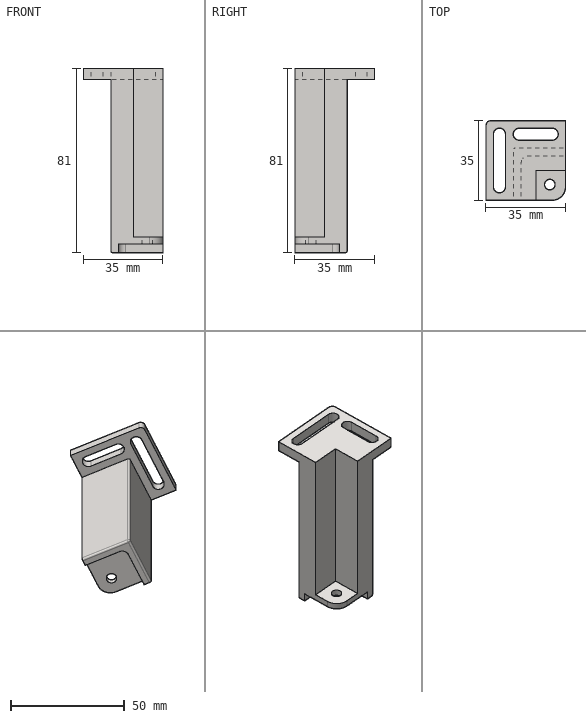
import cadquery as cq

side = 35.0
height = 81.0

plate_thickness = 5.0
plate_corner_radius = 2.0

slot_width = 5.2
slot_edge_gap = 3.3
long_slot_length = 28.3
short_slot_length = 19.7

column_side = 23.0
column_edge_radius = 1.0

notch_side = 13.05
foot_top = 7.0
foot_corner_radius = 6.0
hole_diameter = 4.5
hole_edge_distance = 7.0

recess_height = 4.0
recess_wall = 3.5
recess_corner_radius = 3.0


def box_between(low, high):
    """Box spanned by its lowest and highest corners."""
    sizes = [b - a for a, b in zip(low, high)]
    return cq.Workplane("XY").box(*sizes, centered=False).translate(low)


def make_plate():
    plate = box_between((0, 0, height - plate_thickness), (side, side, height))
    return plate.edges("|Z and <X and >Y").fillet(plate_corner_radius)


def make_column():
    column = box_between((side - column_side, 0, 0), (side, column_side, height))
    rounded_edges = "(|Z and <X and >Y) or (<Z and <X) or (<Z and >Y)"
    return column.edges(rounded_edges).fillet(column_edge_radius)


def make_notch():
    """Clearance over the foot, open toward +X, -Y and the top."""
    return box_between((side - notch_side, 0, foot_top), (side, notch_side, height))


def make_recess():
    """Space below the foot, leaving a lip along the -X and +Y sides."""
    recess = box_between(
        (side - column_side + recess_wall, 0, 0),
        (side, column_side - recess_wall, recess_height),
    )
    return recess.edges("|Z and <X and >Y").fillet(recess_corner_radius)


def make_slot(length, x, y, angle):
    slot = cq.Workplane("XY", origin=(x, y, height - plate_thickness))
    return slot.slot2D(length, slot_width, angle).extrude(plate_thickness)


body = make_plate().union(make_column())
body = body.cut(make_notch()).cut(make_recess())

foot_corner = cq.selectors.BoxSelector(
    (side - 0.8, -0.8, recess_height), (side + 0.8, 0.8, foot_top)
)
body = body.edges("|Z").edges(foot_corner).fillet(foot_corner_radius)

hole = (
    cq.Workplane("XY")
    .center(side - hole_edge_distance, hole_edge_distance)
    .circle(hole_diameter / 2)
    .extrude(foot_top)
)
body = body.cut(hole)

slot_center_offset = slot_edge_gap + slot_width / 2
long_slot = make_slot(
    long_slot_length,
    slot_center_offset,
    side - slot_edge_gap - long_slot_length / 2,
    90,
)
short_slot = make_slot(
    short_slot_length,
    side - slot_edge_gap - short_slot_length / 2,
    side - slot_center_offset,
    0,
)

result = body.cut(long_slot).cut(short_slot)